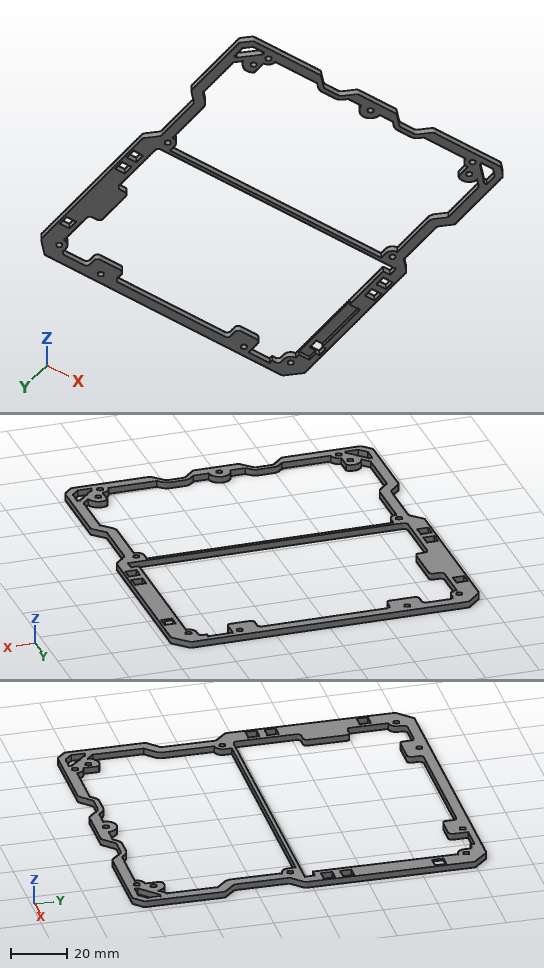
import cadquery as cq
import math

WIDTH = 115.0
LENGTH = 130.0
THICKNESS = 2.4
SIDE = WIDTH / 2
TOP = LENGTH / 2
BOTTOM = -LENGTH / 2

TOP_CHAMFER = 5.6
BOTTOM_CHAMFER = 3.5
WAIST_DEPTH = 4.5
WAIST_TOP = TOP - 67.75
WAIST_BOTTOM = TOP - 97.0
CORNER_RADIUS = 1.5

RAIL = 4.0
UPPER_SIDE_RAIL = 7.0
CROSSBAR_TOP = TOP - 66.8
CROSSBAR = 1.5
CROSSBAR_BOTTOM = CROSSBAR_TOP - CROSSBAR

HOLE_DIAMETER = 2.2
BOSS_RADIUS = 3.0
LARGE_BOSS_RADIUS = 4.0
CORNER_HOLE = (SIDE - 7.0, TOP - 7.0)
WAIST_HOLE = (SIDE - WAIST_DEPTH - RAIL, TOP - 71.0)
LOWER_HOLE = (SIDE - 13.0, BOTTOM + RAIL)
INNER_HOLE = (SIDE - 10.5, BOTTOM + 9.5)
CENTRE_HOLE = (0.0, BOTTOM + RAIL)

TAB_HOLE_Y = TOP - 3.75
LEFT_TAB_HOLE_X = -30.0
RIGHT_TAB_HOLE_X = 32.4
TAB_BOTTOM = TOP - 9.5
LEFT_TAB_HALF_WIDTH = 6.0
RIGHT_TAB_LEFT = 25.4
RIGHT_TAB_RIGHT = 35.4
SIDE_TAB_X = -SIDE + 12.0
SIDE_TAB_TOP = TOP - 25.1
SIDE_TAB_BOTTOM = TOP - 42.1

TOP_RELIEF_RIGHT = 44.5
TOP_RELIEF_Y = TOP - 2.5
LOWER_RELIEF_X = SIDE - 4.0
LOWER_RELIEF_TOP = TOP - 63.2

SQUARE = 4.1
SQUARE_X = SIDE - 3.05
SQUARE_DEPTHS = (17.9, 51.6, 58.6)

POCKET_RIGHT = SIDE - 2.5
POCKET_TOP = TOP - 12.0
POCKET_BOTTOM = TOP - 42.8
POCKET_DEPTH = 1.6

LOWER_BEND_RADIUS = 4.0
OPENING_CORNER_SUM = 16.8

WINDOW_EDGE = 2.5
WINDOW_INNER_SUM = 7.7
WINDOW_OUTER_SUM = 13.7
WINDOW_TIP = 10.1

NOTCH_X = 16.5
NOTCH_HALF_WIDTH = 8.0
NOTCH_HEIGHT = 4.5
NOTCH_RADIUS = 2.0
ARCH_WALL = 2.0

SHORTEST_EDGE = 1e-6


def prism(corners):
    """Plate-thick prism over a polygon of (x, y) or (x, y, radius) corners."""
    points = [cq.Vector(*corner[:2]) for corner in corners]
    radii = [corner[2] if len(corner) == 3 else 0 for corner in corners]
    edges = []
    arc_ends = []
    for i, (here, radius) in enumerate(zip(points, radii)):
        back = (points[i - 1] - here).normalized()
        ahead = (points[(i + 1) % len(points)] - here).normalized()
        half_angle = back.getAngle(ahead) / 2
        start = here + back * (radius / math.tan(half_angle))
        end = here + ahead * (radius / math.tan(half_angle))
        arc_ends.append((start, end))
        if radius:
            bisector = (back + ahead).normalized()
            middle = here + bisector * (radius / math.sin(half_angle) - radius)
            edges.append(cq.Edge.makeThreePointArc(start, middle, end))
    for i, (start, _) in enumerate(arc_ends):
        previous_end = arc_ends[i - 1][1]
        if (start - previous_end).Length > SHORTEST_EDGE:
            edges.append(cq.Edge.makeLine(previous_end, start))
    outline = cq.Wire.assembleEdges(edges)
    return cq.Workplane(cq.Solid.extrudeLinear(outline, [], cq.Vector(0, 0, THICKNESS)))


def disc(centre, radius):
    return cq.Workplane().center(*centre).circle(radius).extrude(THICKNESS)


def mirrored(corners):
    """The corners followed by their reflections in the YZ plane, in reverse order."""
    return corners + [(-corner[0], *corner[1:]) for corner in reversed(corners)]


def both_sides(shape):
    return shape.union(shape.mirror("YZ"))


def notch_corners(offset=0, base_radius=CORNER_RADIUS):
    """Right-hand notch, from right to left, with its 45 degree flanks and top moved outward by an offset."""
    top = BOTTOM + NOTCH_HEIGHT + offset
    half_base = NOTCH_HALF_WIDTH + offset * math.sqrt(2)
    half_top = half_base - NOTCH_HEIGHT - offset
    return [
        (NOTCH_X + half_base, BOTTOM, base_radius),
        (NOTCH_X + half_top, top, NOTCH_RADIUS + offset),
        (NOTCH_X - half_top, top, NOTCH_RADIUS + offset),
        (NOTCH_X - half_base, BOTTOM, base_radius),
    ]


def plate():
    waist_x = SIDE - WAIST_DEPTH
    return prism(mirrored([
        (SIDE - TOP_CHAMFER, TOP, CORNER_RADIUS),
        (SIDE, TOP - TOP_CHAMFER, CORNER_RADIUS),
        (SIDE, WAIST_TOP, CORNER_RADIUS),
        (waist_x, WAIST_TOP - WAIST_DEPTH, CORNER_RADIUS),
        (waist_x, WAIST_BOTTOM + WAIST_DEPTH, CORNER_RADIUS),
        (SIDE, WAIST_BOTTOM, CORNER_RADIUS),
        (SIDE, BOTTOM + BOTTOM_CHAMFER, CORNER_RADIUS),
        (SIDE - BOTTOM_CHAMFER, BOTTOM, CORNER_RADIUS),
        *notch_corners(),
    ]))


def upper_opening():
    side = SIDE - UPPER_SIDE_RAIL
    rail_y = TOP - RAIL
    boss_x = CORNER_HOLE[0] - BOSS_RADIUS
    boss_y = CORNER_HOLE[1] - BOSS_RADIUS
    left_tab_left = LEFT_TAB_HOLE_X - LEFT_TAB_HALF_WIDTH
    left_tab_right = LEFT_TAB_HOLE_X + LEFT_TAB_HALF_WIDTH
    return prism([
        (-side, CROSSBAR_TOP, CORNER_RADIUS),
        (-side, SIDE_TAB_BOTTOM, CORNER_RADIUS),
        (SIDE_TAB_X, SIDE_TAB_BOTTOM, CORNER_RADIUS),
        (SIDE_TAB_X, SIDE_TAB_TOP, CORNER_RADIUS),
        (-side, SIDE_TAB_TOP, CORNER_RADIUS),
        (-side, boss_y),
        (-boss_x, boss_y, BOSS_RADIUS),
        (-boss_x, rail_y, CORNER_RADIUS),
        (left_tab_left, rail_y, CORNER_RADIUS),
        (left_tab_left, TAB_BOTTOM, CORNER_RADIUS),
        (left_tab_right, TAB_BOTTOM, CORNER_RADIUS),
        (left_tab_right, rail_y, CORNER_RADIUS),
        (RIGHT_TAB_LEFT, rail_y, CORNER_RADIUS),
        (RIGHT_TAB_LEFT, TAB_BOTTOM, CORNER_RADIUS),
        (RIGHT_TAB_RIGHT, TAB_BOTTOM, CORNER_RADIUS),
        (RIGHT_TAB_RIGHT, TOP_RELIEF_Y),
        (TOP_RELIEF_RIGHT, TOP_RELIEF_Y),
        (TOP_RELIEF_RIGHT, rail_y),
        (boss_x, rail_y, CORNER_RADIUS),
        (boss_x, boss_y, BOSS_RADIUS),
        (side, boss_y),
        (side, LOWER_RELIEF_TOP),
        (LOWER_RELIEF_X, LOWER_RELIEF_TOP),
        (LOWER_RELIEF_X, CROSSBAR_TOP),
    ])


def lower_bosses():
    """Right-hand bottom bosses; the inner one is trimmed along a line through the lower hole's centre."""
    edge_x, lower_y = LOWER_HOLE
    inner_x, inner_y = INNER_HOLE
    boss_top = inner_y + LARGE_BOSS_RADIUS
    boss_side = inner_x + LARGE_BOSS_RADIUS
    keep = prism([(edge_x, lower_y), (edge_x, boss_top), (boss_side, boss_top), (boss_side, lower_y)])
    return disc(INNER_HOLE, LARGE_BOSS_RADIUS).intersect(keep).union(disc(LOWER_HOLE, BOSS_RADIUS))


def lower_opening():
    """Lower opening with the bosses and the arched walls over the notches left standing in it."""
    waist_x, waist_y = WAIST_HOLE
    side = SIDE - RAIL
    bend_y = WAIST_BOTTOM + WAIST_DEPTH - RAIL * math.tan(math.pi / 8)
    opening = prism(mirrored([
        (waist_x - BOSS_RADIUS, CROSSBAR_BOTTOM),
        (waist_x - BOSS_RADIUS, waist_y - BOSS_RADIUS, BOSS_RADIUS),
        (waist_x, waist_y - BOSS_RADIUS),
        (waist_x, bend_y, LOWER_BEND_RADIUS),
        (side, bend_y - WAIST_DEPTH),
        (side, BOTTOM + OPENING_CORNER_SUM - RAIL),
        (SIDE - OPENING_CORNER_SUM + RAIL, BOTTOM + RAIL),
    ]))
    arch = prism(notch_corners(ARCH_WALL, base_radius=0))
    kept = disc(CENTRE_HOLE, LARGE_BOSS_RADIUS).union(both_sides(lower_bosses().union(arch)))
    return opening.cut(kept)


def corner_window():
    def place(from_side, from_bottom):
        return SIDE - from_side, BOTTOM + from_bottom

    return prism([
        place(WINDOW_EDGE, WINDOW_INNER_SUM - WINDOW_EDGE),
        place(WINDOW_EDGE, WINDOW_TIP),
        place(WINDOW_OUTER_SUM - WINDOW_TIP, WINDOW_TIP),
        place(WINDOW_TIP, WINDOW_OUTER_SUM - WINDOW_TIP),
        place(WINDOW_TIP, WINDOW_EDGE),
        place(WINDOW_INNER_SUM - WINDOW_EDGE, WINDOW_EDGE),
    ])


def square_windows():
    centres = [(SQUARE_X, TOP - depth) for depth in SQUARE_DEPTHS]
    return cq.Workplane().pushPoints(centres).rect(SQUARE, SQUARE).extrude(THICKNESS)


def underside_pocket():
    left = SIDE - UPPER_SIDE_RAIL
    return (
        cq.Workplane()
        .box(POCKET_RIGHT - left, POCKET_TOP - POCKET_BOTTOM, POCKET_DEPTH, centered=False)
        .translate((left, POCKET_BOTTOM, 0))
    )


def screw_holes():
    centres = [CENTRE_HOLE, (LEFT_TAB_HOLE_X, TAB_HOLE_Y), (RIGHT_TAB_HOLE_X, TAB_HOLE_Y)]
    for x, y in (CORNER_HOLE, WAIST_HOLE, LOWER_HOLE, INNER_HOLE):
        centres += [(x, y), (-x, y)]
    return cq.Workplane().pushPoints(centres).circle(HOLE_DIAMETER / 2).extrude(THICKNESS)


result = plate().cut(upper_opening()).cut(lower_opening())
result = result.cut(both_sides(corner_window())).cut(both_sides(square_windows()))
result = result.cut(underside_pocket()).cut(screw_holes())